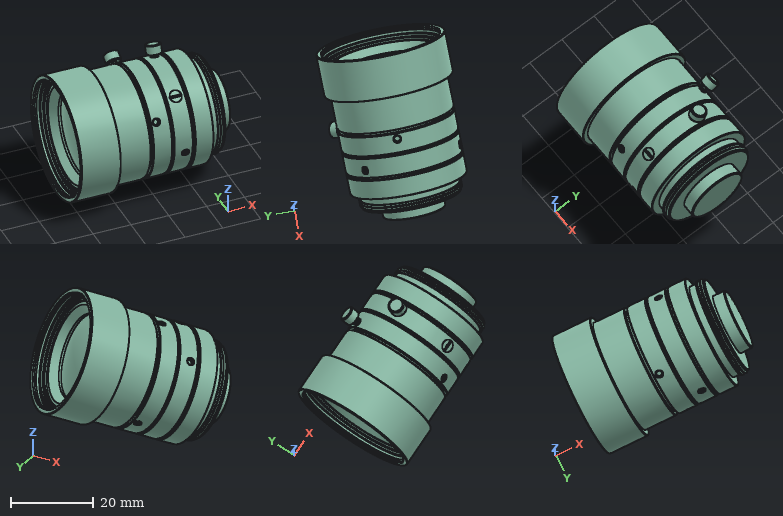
import cadquery as cq
import math

length = 42.9
hood_end = 10.47
hood_radius = 31.95 / 2
body_radius = 29.0 / 2
edge_chamfer = 0.17

ring_gaps = [
    (18.95, 19.65, 27.05 / 2),
    (24.7, 25.1, 27.5 / 2),
    (30.15, 30.7, 27.5 / 2),
]
rings_end = 35.6

mount_radius = 24.5 / 2
mount_end = 39.7
thread_start = 37.5
thread_crest_radius = 25.4 / 2
thread_root_radius = 24.72 / 2
thread_pitch = 0.77
thread_ridges = 2
first_root = 37.65
thread_runout_end = 39.25

tube_radius = 15.5 / 2
tube_chamfer = 0.25

rim_radius = 15.25
filter_thread_radius = 14.8
filter_thread_pitch = 0.5
filter_thread_turns = 2
lead_in = 0.15
seats = [
    (1.9, 14.4, 14.2),
    (2.58, 13.75, 13.35),
]
cone_start = 3.2
cone_radius = 24.95 / 2
lens_radius = 21.5 / 2
cone_end = 5.2
lens_edge = 5.85
lens_bulge = 2.15

focus_x = 21.2
focus_angle = 30
iris_x = 28.15
iris_angle = 70
screws_per_ring = 3
focus_knob_top = 18.5
iris_knob_top = 17.8
knob_radius = 4.0 / 2
knob_height = 2.58
knob_chamfer_height = 0.2
knob_chamfer_width = 0.35
neck_radius = 1.3 / 2
screw_crest_radius = 2.0 / 2
screw_root_radius = 1.5 / 2
screw_pitch = 0.4
stem_turns = 2
hole_turns = 2
hole_depth = 1.07
screw_floor = body_radius - hole_depth

slot_screw_x = 27.7
slot_screw_angle = 130
slot_screw_radius = 3.1 / 2
slot_width = 0.45
slot_depth = 0.4
cut_clearance = 0.45


def band(start, end, radius):
    """Outline points of a cylindrical band with both corners chamfered."""
    inner = radius - edge_chamfer
    return [
        (start, inner),
        (start + edge_chamfer, radius),
        (end - edge_chamfer, radius),
        (end, inner),
    ]


def mount_thread():
    """Outline points of the ridged mount thread and its tapered run-out."""
    points = [
        (thread_start, mount_radius),
        (thread_start, thread_crest_radius),
    ]
    for i in range(thread_ridges):
        root = first_root + i * thread_pitch
        points.append((root, thread_root_radius))
        points.append((root + thread_pitch / 2, thread_crest_radius))
    points.append((thread_runout_end, mount_radius))
    return points


def outer_outline():
    """Outside of the barrel from the front rim to the rear tube."""
    points = band(0, hood_end, hood_radius)
    points.append((hood_end, body_radius))

    front_body_end = ring_gaps[0][0]
    points += band(hood_end, front_body_end, body_radius)[2:]

    ring_ends = [gap[0] for gap in ring_gaps[1:]] + [rings_end]
    for (gap_start, gap_end, gap_radius), ring_end in zip(ring_gaps, ring_ends):
        points += [(gap_start, gap_radius), (gap_end, gap_radius)]
        points += band(gap_end, ring_end, body_radius)

    points.append((rings_end, mount_radius))
    points += mount_thread()
    points.append((mount_end - edge_chamfer, mount_radius))
    points.append((mount_end, mount_radius - edge_chamfer))
    points.append((mount_end, tube_radius))
    points.append((length - tube_chamfer, tube_radius))
    points.append((length, tube_radius - tube_chamfer))
    return points


def opening_outline():
    """Inside of the front opening from the lens edge forward to the rim."""
    points = [
        (lens_edge, lens_radius),
        (cone_end, lens_radius),
        (cone_start, cone_radius),
    ]
    face = cone_start
    for seat_face, chamfer_radius, bore_radius in reversed(seats):
        points.append((face, bore_radius))
        points.append((seat_face + lead_in, bore_radius))
        points.append((seat_face, chamfer_radius))
        face = seat_face
    points.append((face, filter_thread_radius))

    crest = lead_in + filter_thread_turns * filter_thread_pitch
    for _ in range(filter_thread_turns):
        points.append((crest, filter_thread_radius))
        points.append((crest - filter_thread_pitch / 2, rim_radius))
        crest -= filter_thread_pitch
    points.append((lead_in, filter_thread_radius))
    points.append((0, rim_radius))
    return points


def make_barrel():
    dome_radius = (lens_radius**2 + lens_bulge**2) / (2 * lens_bulge)
    half_angle = math.asin(lens_radius / dome_radius) / 2
    dome_top = lens_edge - lens_bulge
    dome_middle = (
        dome_top + dome_radius * (1 - math.cos(half_angle)),
        dome_radius * math.sin(half_angle),
    )
    profile = (
        cq.Workplane("XY")
        .moveTo(dome_top, 0)
        .threePointArc(dome_middle, (lens_edge, lens_radius))
    )
    for point in opening_outline()[1:] + outer_outline():
        profile = profile.lineTo(*point)
    profile = profile.lineTo(length, 0).close()
    return profile.revolve(360, (0, 0, 0), (1, 0, 0))


def place(shape, x, angle):
    """Move a shape built along +Z from the barrel axis to its station and angle."""
    return shape.rotate((0, 0, 0), (1, 0, 0), angle - 90).translate((x, 0, 0))


def turned(points):
    """Turn an outline of (radius, height) points about the Z axis."""
    return cq.Workplane("XZ").polyline(points).close().revolve(360, (0, 0, 0), (0, 1, 0))


def screw_thread(turns):
    """Ridged outline of a screw thread, running outwards to end wide at the ring surface."""
    points = []
    for turn in range(turns, 0, -1):
        root_height = body_radius - (turn - 0.5) * screw_pitch
        points.append((screw_root_radius, root_height))
        points.append((screw_crest_radius, root_height + screw_pitch / 2))
    return points


def screw_hole():
    outside = body_radius + cut_clearance
    return turned(
        [(0, screw_floor), (screw_root_radius, screw_floor)]
        + screw_thread(hole_turns)
        + [(screw_crest_radius, outside), (0, outside)]
    )


def knob_screw(top):
    """Thumb screw: chamfered head, thin neck, and a threaded stem rooted in its ring."""
    bottom = top - knob_height
    face_radius = knob_radius - knob_chamfer_width
    stem = [(0, screw_floor), (screw_crest_radius, screw_floor)]
    for turn in range(stem_turns):
        crest_height = body_radius + turn * screw_pitch
        stem.append((screw_crest_radius, crest_height))
        stem.append((screw_root_radius, crest_height + screw_pitch / 2))
    neck_start = body_radius + (stem_turns - 0.5) * screw_pitch
    head = [
        (neck_radius, neck_start),
        (neck_radius, bottom),
        (face_radius, bottom),
        (knob_radius, bottom + knob_chamfer_height),
        (knob_radius, top - knob_chamfer_height),
        (face_radius, top),
        (0, top),
    ]
    return turned(stem + head)


def slotted_head():
    """Flat screw head whose top is flush with the ring at its middle."""
    return (
        cq.Workplane("XY")
        .workplane(offset=screw_floor)
        .circle(slot_screw_radius)
        .extrude(hole_depth)
    )


def screw_slot():
    slot_floor = body_radius - slot_depth
    return (
        cq.Workplane("XY")
        .workplane(offset=slot_floor)
        .rect(2 * slot_screw_radius, slot_width)
        .extrude(slot_depth + cut_clearance)
    )


result = make_barrel()

for x, first_angle, knob_top in [
    (focus_x, focus_angle, focus_knob_top),
    (iris_x, iris_angle, iris_knob_top),
]:
    result = result.union(place(knob_screw(knob_top), x, first_angle))
    for i in range(1, screws_per_ring):
        angle = first_angle + i * 360 / screws_per_ring
        result = result.cut(place(screw_hole(), x, angle))

result = result.union(place(slotted_head(), slot_screw_x, slot_screw_angle))
result = result.cut(place(screw_slot(), slot_screw_x, slot_screw_angle)).solids()